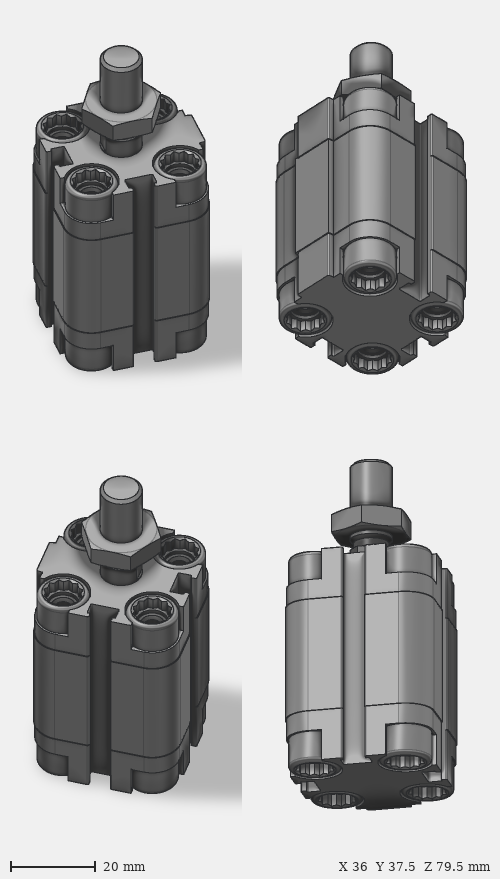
import cadquery as cq
import math

housing_height = 53.0
total_height = 79.5
barrel_width = 36.0
half_width = barrel_width / 2
corner_radius = 7.0
cap_height = 12.5
cap_inset = 0.2

slot_lip_half_width = 2.7
slot_lip_thickness = 1.6
slot_half_width = 3.5
slot_depth = 4.9
slot_rounding = 0.3

rail_height = 1.5
rail_top_half_width = 5.65
rail_base_half_width = 5.9
cap_rail_left_inset = cap_inset
cap_rail_right_inset = 0.55
cap_rail_rounding = 0.4

screw_offset = half_width - corner_radius
boss_diameter = 12.5
boss_fillet = 1.0
boss_pocket_diameter = 13.0
boss_pocket_depth = 7.55
pocket_side = 7.8

socket_rim_diameter = 10.0
socket_rim_angle = 30
socket_across_flats = 8.1
socket_depth = 3.2
seat_diameter = 7.2
seat_depth = 4.1
cone_diameter = 5.6
through_diameter = 4.1

rod_diameter = 10.0
rod_engagement = cap_height
rod_chamfer = 0.8
neck_diameter = 8.4
neck_height = 2.0
flats_clearance = 0.2
flats_bottom = housing_height + flats_clearance
flats_height = 4.5
flats_across = 9.0
thread_bottom = flats_bottom + flats_height + neck_height

nut_across_flats = 17.0
nut_thickness = 5.0
nut_distance = 13.0
nut_top = total_height - nut_distance
nut_bottom = nut_top - nut_thickness
nut_chamfer_angle = 15
nut_face_diameter = 16.85

barrel_bottom = cap_height
barrel_top = housing_height - cap_height
half_hexagon_turn = 30
slot_sides = (90, 180, 270)
screw_centers = [(x, y) for x in (-screw_offset, screw_offset) for y in (-screw_offset, screw_offset)]


def profile_block(bottom, top, inset=0, rail_left_inset=0, rail_right_inset=0):
    """Rounded square with slots and a sharp rail, its outer faces moved inward by inset."""
    height = top - bottom
    face = half_width - inset
    block = (
        cq.Workplane("XY").workplane(offset=bottom)
        .rect(2 * face, 2 * face)
        .extrude(height)
        .edges("|Z").fillet(corner_radius - inset)
        .union(rail(face, bottom, height, rail_left_inset, rail_right_inset))
    )
    for angle in slot_sides:
        block = block.cut(t_slot(face, bottom, height).rotate((0, 0, 0), (0, 0, 1), angle))
    return block


def cap(bottom, top):
    """End cap: the barrel profile, slightly inset, with rounded rail corners."""
    rail_top = half_width - cap_inset + rail_height
    return (
        profile_block(bottom, top, cap_inset, cap_rail_left_inset, cap_rail_right_inset)
        .edges(cq.selectors.BoxSelector(
            (-half_width, rail_top - cap_rail_rounding, bottom),
            (half_width, rail_top + cap_rail_rounding, top),
        ))
        .edges("|Z").fillet(cap_rail_rounding)
    )


def rail(face, bottom, height, left_inset, right_inset):
    """Trapezoidal rail that stands on the face at +Y."""
    return (
        cq.Workplane("XY").workplane(offset=bottom)
        .polyline([
            (left_inset - rail_base_half_width, 0),
            (left_inset - rail_base_half_width, face),
            (left_inset - rail_top_half_width, face + rail_height),
            (rail_top_half_width - right_inset, face + rail_height),
            (rail_base_half_width - right_inset, face),
            (rail_base_half_width - right_inset, 0),
        ])
        .close()
        .extrude(height)
    )


def t_slot(face, bottom, height):
    """T-slot cutter that opens through the face at +Y."""
    throat_bottom = half_width - slot_lip_thickness
    floor = half_width - slot_depth
    mouth_half_width = slot_lip_half_width + slot_rounding
    chamber = (
        cq.Workplane("XY").workplane(offset=bottom)
        .center(0, (floor + throat_bottom) / 2)
        .rect(2 * slot_half_width, throat_bottom - floor)
        .extrude(height)
        .edges("|Z").fillet(slot_rounding)
    )
    throat = (
        cq.Workplane("XY").workplane(offset=bottom)
        .moveTo(-slot_lip_half_width, floor + slot_rounding)
        .lineTo(-slot_lip_half_width, face - slot_rounding)
        .radiusArc((-mouth_half_width, face), -slot_rounding)
        .lineTo(mouth_half_width, face)
        .radiusArc((slot_lip_half_width, face - slot_rounding), -slot_rounding)
        .lineTo(slot_lip_half_width, floor + slot_rounding)
        .close()
        .extrude(height)
    )
    return chamber.union(throat)


def boss_pockets():
    """Recesses in the top cap that leave room for the four bosses."""
    floor = housing_height - boss_pocket_depth
    corner_size = half_width - pocket_side
    corner_middle = (half_width + pocket_side) / 2
    corner_centers = [
        (math.copysign(corner_middle, x), math.copysign(corner_middle, y)) for x, y in screw_centers
    ]
    start = cq.Workplane("XY").workplane(offset=floor)
    rounds = start.pushPoints(screw_centers).circle(boss_pocket_diameter / 2).extrude(boss_pocket_depth)
    corners = start.pushPoints(corner_centers).rect(corner_size, corner_size).extrude(boss_pocket_depth)
    return rounds.union(corners)


def bosses():
    """Four round bosses that stand in the pockets of the top cap."""
    return (
        cq.Workplane("XY").workplane(offset=housing_height - boss_pocket_depth)
        .pushPoints(screw_centers)
        .circle(boss_diameter / 2)
        .extrude(boss_pocket_depth)
        .faces(">Z").edges().fillet(boss_fillet)
    )


def socket():
    """Cutter for one top socket: chamfered rim, twelve-point recess, seat and cone."""
    rim_depth = (socket_rim_diameter - seat_diameter) / 2 * math.tan(math.radians(socket_rim_angle))
    cone_height = (cone_diameter - through_diameter) / 2
    steps = (
        cq.Workplane("XZ")
        .polyline([
            (0, housing_height),
            (socket_rim_diameter / 2, housing_height),
            (seat_diameter / 2, housing_height - rim_depth),
            (seat_diameter / 2, housing_height - seat_depth),
            (cone_diameter / 2, housing_height - seat_depth),
            (through_diameter / 2, housing_height - seat_depth - cone_height),
            (0, housing_height - seat_depth - cone_height),
        ])
        .close()
        .revolve(360, (0, 0), (0, 1))
    )
    hexagon = (
        cq.Workplane("XY").workplane(offset=housing_height - socket_depth)
        .polygon(6, socket_across_flats, circumscribed=True)
        .extrude(socket_depth)
    )
    return steps.union(hexagon).union(hexagon.rotate((0, 0, 0), (0, 0, 1), half_hexagon_turn))


def mirrored_to_bottom(feature):
    """The same feature at the bottom end of the housing."""
    return feature.mirror("XY", (0, 0, housing_height / 2))


def build_housing():
    body = profile_block(barrel_bottom, barrel_top)
    body = body.union(cap(0, barrel_bottom))
    body = body.union(cap(barrel_top, housing_height))

    top_pockets = boss_pockets()
    body = body.cut(top_pockets).cut(mirrored_to_bottom(top_pockets))
    top_bosses = bosses()
    body = body.union(top_bosses).union(mirrored_to_bottom(top_bosses))

    top_socket = socket()
    bottom_socket = mirrored_to_bottom(top_socket)
    through_hole = cq.Workplane("XY").circle(through_diameter / 2).extrude(housing_height)
    for x, y in screw_centers:
        for cutter in (top_socket, bottom_socket, through_hole):
            body = body.cut(cutter.translate((x, y, 0)))

    rod_hole = (
        cq.Workplane("XY").workplane(offset=housing_height)
        .circle(rod_diameter / 2)
        .extrude(-rod_engagement)
    )
    return body.cut(rod_hole)


def build_rod():
    """Round rod with two wrench flats, a neck and a threaded end drawn plain."""
    radius = rod_diameter / 2
    neck_radius = neck_diameter / 2
    flats_top = flats_bottom + flats_height
    rod = (
        cq.Workplane("XZ")
        .polyline([
            (0, housing_height - rod_engagement),
            (radius, housing_height - rod_engagement),
            (radius, flats_top),
            (neck_radius, flats_top),
            (neck_radius, thread_bottom),
            (radius, thread_bottom + rod_chamfer),
            (radius, total_height - rod_chamfer),
            (radius - rod_chamfer, total_height),
            (0, total_height),
        ])
        .close()
        .revolve(360, (0, 0), (0, 1))
    )
    for side in (-1, 1):
        flat_cutter = (
            cq.Workplane("XY").workplane(offset=flats_bottom)
            .center(0, side * (flats_across + rod_diameter) / 2)
            .rect(rod_diameter, rod_diameter)
            .extrude(flats_height)
        )
        rod = rod.cut(flat_cutter)
    return rod


def build_nut():
    """Hexagon nut, corners along Y, both faces chamfered by a cone."""
    corner_diameter = nut_across_flats / math.cos(math.radians(half_hexagon_turn))
    face_radius = nut_face_diameter / 2
    nut_corner_radius = corner_diameter / 2
    corner_drop = (nut_corner_radius - face_radius) * math.tan(math.radians(nut_chamfer_angle))
    prism = (
        cq.Workplane("XY").workplane(offset=nut_bottom)
        .polygon(6, corner_diameter)
        .extrude(nut_thickness)
        .rotate((0, 0, 0), (0, 0, 1), half_hexagon_turn)
    )
    chamfered_disc = (
        cq.Workplane("XZ")
        .polyline([
            (rod_diameter / 2, nut_bottom),
            (face_radius, nut_bottom),
            (nut_corner_radius, nut_bottom + corner_drop),
            (nut_corner_radius, nut_top - corner_drop),
            (face_radius, nut_top),
            (rod_diameter / 2, nut_top),
        ])
        .close()
        .revolve(360, (0, 0), (0, 1))
    )
    return prism.intersect(chamfered_disc)


housing = build_housing()
rod = build_rod()
nut = build_nut()

result = cq.Compound.makeCompound([housing.val(), rod.val(), nut.val()])